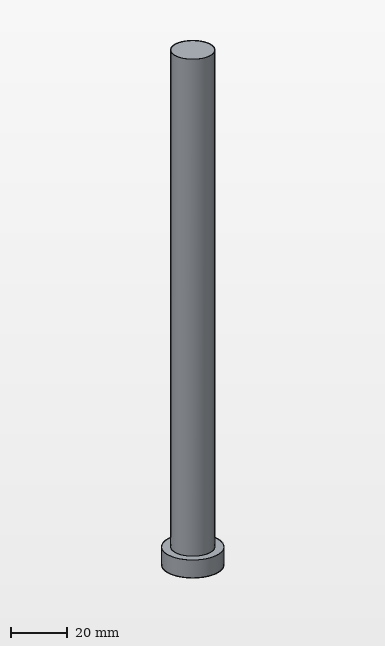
import cadquery as cq

total_length = 200.0
head_diameter = 22.0
head_height = 7.0
shank_diameter = 15.5

head = cq.Workplane("XY").circle(head_diameter / 2).extrude(head_height)
shank = cq.Workplane("XY").circle(shank_diameter / 2).extrude(total_length)

result = head.union(shank)